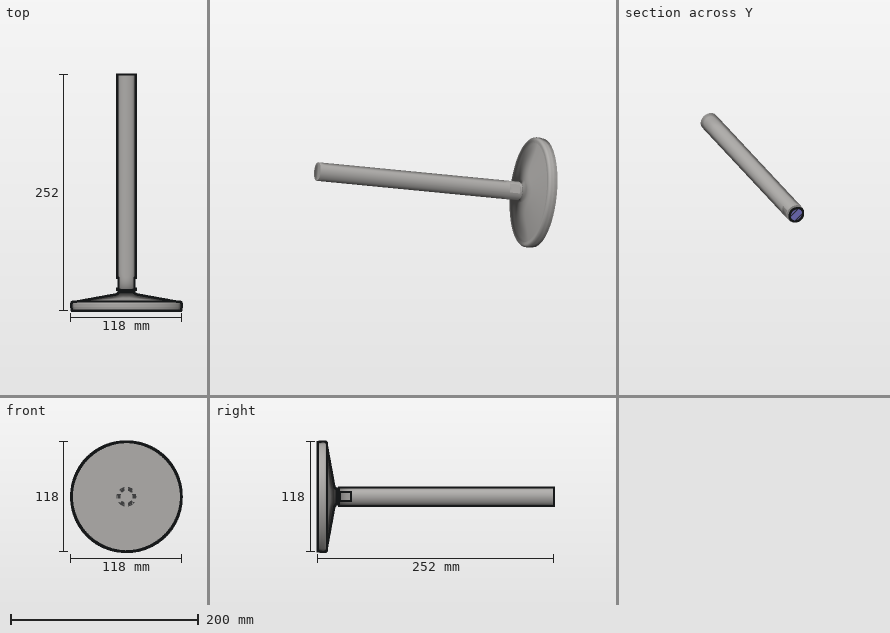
import cadquery as cq

total_length = 252.0

foot_radius = 118.0 / 2
base_radius = foot_radius - 0.8
taper_height = 4.0
rim_height = 10.0
rim_fillet = 3.0
rim_ledge_radius = 53.5
cone_top_radius = 11.5
cone_top_y = 17.6
throat_radius = 7.8
throat_y = 20.0
throat_fillet = 7.5
collar_radius = 8.5
collar_bottom_y = 20.5
collar_top_y = 21.0

rod_radius = 20.0 / 2
rod_start_y = 22.5
neck_radius = 7.0
flat_start_y = 23.7
flat_length = 11.5
flat_distance = 17.5


def turn_about_y(profile):
    """Revolve a closed XY half profile about the Y axis."""
    return profile.revolve(360, (0, 0, 0), (0, 1, 0))


def make_foot():
    profile = (
        cq.Workplane("XY")
        .moveTo(0, 0)
        .lineTo(base_radius, 0)
        .lineTo(foot_radius, taper_height)
        .lineTo(foot_radius, rim_height - rim_fillet)
        .radiusArc((foot_radius - rim_fillet, rim_height), -rim_fillet)
        .lineTo(rim_ledge_radius, rim_height)
        .lineTo(cone_top_radius, cone_top_y)
        .radiusArc((throat_radius, throat_y), throat_fillet)
        .lineTo(collar_radius, collar_bottom_y)
        .lineTo(collar_radius, collar_top_y)
        .lineTo(0, collar_top_y)
        .close()
    )
    return turn_about_y(profile)


def make_spindle():
    profile = (
        cq.Workplane("XY")
        .moveTo(0, collar_top_y)
        .lineTo(collar_radius, collar_top_y)
        .lineTo(neck_radius, rod_start_y)
        .lineTo(rod_radius, rod_start_y)
        .lineTo(rod_radius, total_length)
        .lineTo(0, total_length)
        .close()
    )
    spindle = turn_about_y(profile)
    cutter_width = 2 * rod_radius
    for side in (-1, 1):
        cutter = cq.Workplane("XY").box(cutter_width, flat_length, cutter_width).translate(
            (side * (flat_distance + cutter_width) / 2, flat_start_y + flat_length / 2, 0)
        )
        spindle = spindle.cut(cutter)
    return spindle


foot = make_foot()
spindle = make_spindle()

result = cq.Compound.makeCompound([foot.val(), spindle.val()])